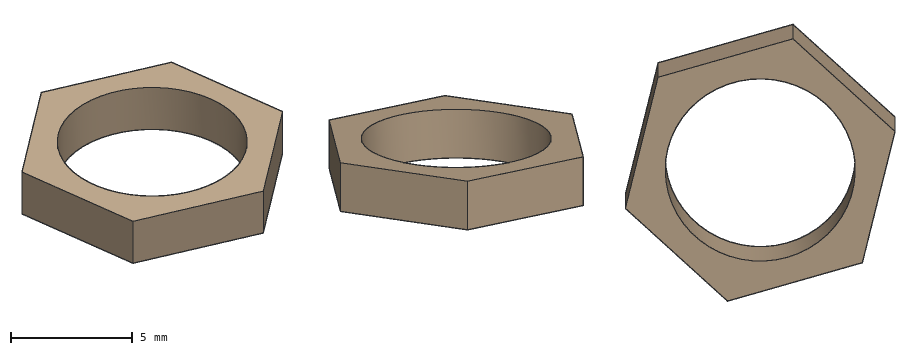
import cadquery as cq

corner_to_corner = 11.55
thickness = 2.1
bore_diameter = 7.8

hexagon = (
    cq.Workplane("XY")
    .transformed(rotate=(0, 0, 90))
    .polygon(6, corner_to_corner)
    .extrude(thickness)
)

bore = cq.Workplane("XY").circle(bore_diameter / 2).extrude(thickness)

result = hexagon.cut(bore)